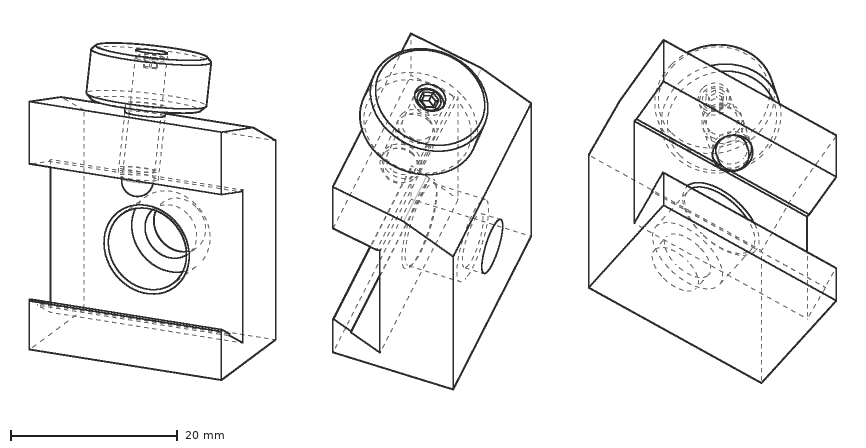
import cadquery as cq
import math

width = 25.4
depth = 15.55
back_height = 25.42
front_height = 31.65
ridge_y = 9.1
tilt = 15.0
web_y = 6.1
upper_jaw_tip_z = 23.7
relief_width = 0.47
relief_rise = 0.08

ramp_angle = 30.0
ramp_root_z = 2.75
lip_y = 2.3
lip_step = 0.2
tip_blunt = 0.25

mount_z = 12.7
mount_bore_d = 6.8
mount_counterbore_d = 10.3
mount_counterbore_depth = 6.9
mount_chamfer = 0.47
mount_chamfer_depth = 0.25

axis_y = 5.57
bushing_d = 4.85
bushing_recess = 1.0

knob_gap = 1.15
knob_d = 14.5
knob_height = 6.45
knob_top_chamfer = 0.5
knob_bottom_chamfer = 0.63

screw_d = 3.8
screw_recess = 0.5
screw_end_chamfer = 0.45
screw_neck = 0.4

socket_flats = 1.55
socket_depth = 1.4
socket_lead_in = 0.27

slope = math.tan(math.radians(tilt))
ramp_slope = math.tan(math.radians(ramp_angle))
ramp_sin = math.sin(math.radians(ramp_angle))
ramp_cos = math.cos(math.radians(ramp_angle))

axis_top_z = front_height - axis_y * slope
jaw_thickness = (front_height - upper_jaw_tip_z) * math.cos(math.radians(tilt))
knob_top = knob_gap + knob_height
screw_top = knob_top - screw_recess
tip_centre = -jaw_thickness - screw_neck


def axis_plane(offset):
    """Plane square to the screw axis, offset upwards from the jaw's top face."""
    normal = cq.Vector(0, math.sin(math.radians(tilt)), math.cos(math.radians(tilt)))
    origin = cq.Vector(0, axis_y, axis_top_z) + normal * offset
    return cq.Plane(origin=origin, xDir=(1, 0, 0), normal=normal)


def axis_cylinder(diameter, bottom, top):
    """Cylinder on the screw axis between two heights."""
    return cq.Workplane(axis_plane(bottom)).circle(diameter / 2).extrude(top - bottom)


def housing_profile():
    """Side outline as (y, z) points."""
    relief_y = web_y - relief_width
    relief_z = upper_jaw_tip_z - relief_y * slope
    step_foot = (lip_y, ramp_root_z + (web_y - lip_y) * ramp_slope)
    step_head = (step_foot[0] + lip_step * ramp_sin, step_foot[1] + lip_step * ramp_cos)
    blunt_y = tip_blunt * ramp_sin
    blunt_z = step_head[1] + (step_head[0] - blunt_y) * ramp_slope
    return [
        (0, 0),
        (depth, 0),
        (depth, back_height),
        (ridge_y, front_height - ridge_y * slope),
        (0, front_height),
        (0, upper_jaw_tip_z),
        (relief_y, relief_z),
        (web_y, relief_z + relief_rise),
        (web_y, ramp_root_z),
        step_foot,
        step_head,
        (blunt_y, blunt_z),
        (0, blunt_z - tip_blunt * ramp_cos),
    ]


def web_hole(diameter, start_y, length):
    """Cutter for the mounting hole, running towards +Y."""
    plane = cq.Plane(origin=(0, start_y, mount_z), xDir=(1, 0, 0), normal=(0, 1, 0))
    return cq.Workplane(plane).circle(diameter / 2).extrude(length)


def mount_countersink():
    """Conical cutter that bevels the mouth of the counterbore."""
    inner_radius = mount_counterbore_d / 2
    cone = cq.Solid.makeCone(
        inner_radius + mount_chamfer,
        inner_radius,
        mount_chamfer_depth,
        pnt=cq.Vector(0, web_y, mount_z),
        dir=cq.Vector(0, 1, 0),
    )
    return cq.Workplane(obj=cone)


def make_housing():
    block = cq.Workplane("YZ").polyline(housing_profile()).close().extrude(width / 2, both=True)
    block = block.cut(mount_countersink())
    block = block.cut(web_hole(mount_counterbore_d, web_y, mount_counterbore_depth))
    block = block.cut(web_hole(mount_bore_d, web_y, depth - web_y))
    return block.cut(axis_cylinder(bushing_d, -jaw_thickness - bushing_recess, knob_gap))


def make_bushing():
    bushing = axis_cylinder(bushing_d, bushing_recess - jaw_thickness, knob_gap)
    return bushing.cut(axis_cylinder(screw_d, -jaw_thickness, knob_gap))


def make_knob():
    knob = axis_cylinder(knob_d, knob_gap, knob_top)
    knob = knob.edges(">Z").chamfer(knob_top_chamfer)
    knob = knob.edges("<Z").chamfer(knob_bottom_chamfer)
    return knob.cut(axis_cylinder(screw_d, knob_gap, knob_top))


def across_corners(flats):
    """Corner-to-corner size of a regular hexagon."""
    return flats / math.cos(math.pi / 6)


def hexagon(flats, height):
    """Hexagon on the screw axis with two flats facing front and back."""
    return cq.Workplane(axis_plane(height)).polygon(6, across_corners(flats))


def make_screw():
    screw = axis_cylinder(screw_d, tip_centre, screw_top)
    screw = screw.edges(">Z").chamfer(screw_end_chamfer)
    tip = cq.Workplane(axis_plane(tip_centre)).sphere(screw_d / 2)
    socket = hexagon(socket_flats, screw_top - socket_depth).extrude(socket_depth)
    lead_in = (
        hexagon(socket_flats, screw_top - socket_lead_in)
        .workplane(offset=socket_lead_in)
        .polygon(6, across_corners(socket_flats + 2 * socket_lead_in))
        .loft(ruled=True)
    )
    return screw.union(tip).cut(socket).cut(lead_in)


housing = make_housing()
bushing = make_bushing()
knob = make_knob()
screw = make_screw()

result = cq.Compound.makeCompound([housing.val(), bushing.val(), knob.val(), screw.val()])